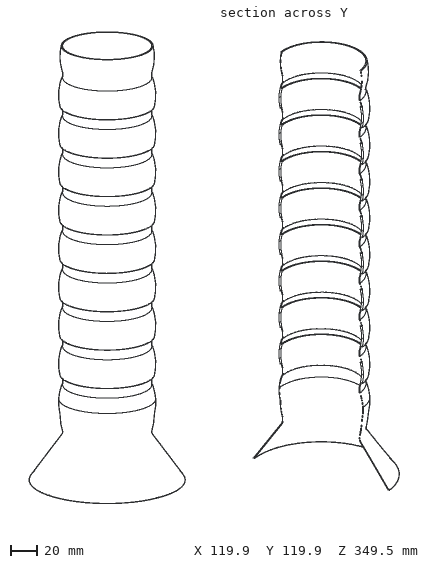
import cadquery as cq
import math

TOTAL_HEIGHT = 349.5
MOUTH_RADIUS = 59.93
WALL = 1.0

JOINT_COUNT = 9
TOP_BALL_Z = 340.7
LAST_SOCKET_Z = 62.5
PITCH = (TOP_BALL_Z - LAST_SOCKET_Z) / JOINT_COUNT
BALL_RADIUS = 36.5
BALL_BORE_RADIUS = BALL_RADIUS - WALL
SOCKET_RADIUS = BALL_RADIUS + WALL
NECK_RADIUS = 34.2
NECK_BORE_RADIUS = NECK_RADIUS - WALL

BALL_RIM = TOTAL_HEIGHT - TOP_BALL_Z
SOCKET_LIP = -8.5
BALL_FOOT = -11.0
NECK_TOP = -12.2
NECK_FOOT = -16.8
SOCKET_START = -19.0
SOCKET_CROWN = SOCKET_START + PITCH

SEAM_Z = 65.5
SEAM_HEIGHT = SEAM_Z - LAST_SOCKET_Z
COLLAR_MID_Z = 47.5
COLLAR_MID_RADIUS = 36.0
COLLAR_FOOT_Z = 41.0
COLLAR_FOOT_RADIUS = 34.5
THROAT_Z = 38.5
CONE_TOP_Z = 35.0
CONE_TOP_RADIUS = 35.3


def sphere_point(radius, center_z, height):
    """Profile point on a sphere, at a height measured from its centre."""
    return (math.sqrt(radius**2 - height**2), center_z + height)


def add_sphere_arc(profile, radius, center_z, start, end):
    """Follow a sphere from height start, where the profile stands, to height end."""
    middle = sphere_point(radius, center_z, (start + end) / 2)
    return profile.threePointArc(middle, sphere_point(radius, center_z, end))


def revolve(profile):
    return profile.close().revolve(360, (0, 0, 0), (0, 1, 0))


def make_hose():
    """Each socket has a straight shoulder above the ball rim; the lowest one is round up to its crown."""
    ball_centers = [TOP_BALL_Z - i * PITCH for i in range(JOINT_COUNT)]
    profile = cq.Workplane("XZ").moveTo(*sphere_point(BALL_RADIUS, TOP_BALL_Z, BALL_RIM))

    ball_start = BALL_RIM
    for z in ball_centers:
        next_z = z - PITCH
        profile = add_sphere_arc(profile, BALL_RADIUS, z, ball_start, BALL_FOOT)
        profile = profile.lineTo(NECK_RADIUS, z + NECK_TOP).lineTo(NECK_RADIUS, z + NECK_FOOT)
        profile = profile.lineTo(*sphere_point(SOCKET_RADIUS, next_z, SOCKET_CROWN))
        if z == ball_centers[-1]:
            profile = add_sphere_arc(profile, SOCKET_RADIUS, next_z, SOCKET_CROWN, SEAM_HEIGHT)
        else:
            profile = profile.lineTo(*sphere_point(SOCKET_RADIUS, next_z, BALL_RIM))
            profile = add_sphere_arc(profile, SOCKET_RADIUS, next_z, BALL_RIM, SOCKET_LIP)
            profile = profile.lineTo(*sphere_point(BALL_RADIUS, next_z, SOCKET_LIP))
        ball_start = SOCKET_LIP

    profile = profile.lineTo(*sphere_point(BALL_RADIUS, LAST_SOCKET_Z, SEAM_HEIGHT))
    profile = add_sphere_arc(profile, BALL_RADIUS, LAST_SOCKET_Z, SEAM_HEIGHT, SOCKET_CROWN)
    for z in reversed(ball_centers):
        profile = profile.lineTo(NECK_BORE_RADIUS, z + NECK_FOOT).lineTo(NECK_BORE_RADIUS, z + NECK_TOP)
        profile = profile.lineTo(*sphere_point(BALL_BORE_RADIUS, z, BALL_FOOT))
        profile = add_sphere_arc(profile, BALL_BORE_RADIUS, z, BALL_FOOT, BALL_RIM)
        if z != TOP_BALL_Z:
            profile = profile.lineTo(*sphere_point(BALL_RADIUS, z, BALL_RIM))
            profile = profile.lineTo(*sphere_point(BALL_RADIUS, z, SOCKET_CROWN))
    return revolve(profile)


def make_nozzle():
    cone_angle = math.atan2(MOUTH_RADIUS - CONE_TOP_RADIUS, CONE_TOP_Z)
    cone_inset = WALL / math.cos(cone_angle)
    lip_inside = sphere_point(BALL_RADIUS, LAST_SOCKET_Z, SOCKET_LIP)
    profile = cq.Workplane("XZ").moveTo(*sphere_point(SOCKET_RADIUS, LAST_SOCKET_Z, SEAM_HEIGHT))

    profile = add_sphere_arc(profile, SOCKET_RADIUS, LAST_SOCKET_Z, SEAM_HEIGHT, SOCKET_LIP)
    profile = (
        profile
        .threePointArc((COLLAR_MID_RADIUS, COLLAR_MID_Z), (COLLAR_FOOT_RADIUS, COLLAR_FOOT_Z))
        .threePointArc((NECK_RADIUS, THROAT_Z), (CONE_TOP_RADIUS, CONE_TOP_Z))
        .lineTo(MOUTH_RADIUS, 0)
    )

    profile = (
        profile
        .lineTo(MOUTH_RADIUS - cone_inset, 0)
        .lineTo(CONE_TOP_RADIUS - cone_inset, CONE_TOP_Z)
        .threePointArc((NECK_BORE_RADIUS, THROAT_Z), (COLLAR_FOOT_RADIUS - WALL, COLLAR_FOOT_Z))
        .threePointArc((COLLAR_MID_RADIUS - WALL, COLLAR_MID_Z), lip_inside)
    )
    profile = add_sphere_arc(profile, BALL_RADIUS, LAST_SOCKET_Z, SOCKET_LIP, SEAM_HEIGHT)
    return revolve(profile)


hose = make_hose()
nozzle = make_nozzle()
result = cq.Compound.makeCompound([hose.val(), nozzle.val()])